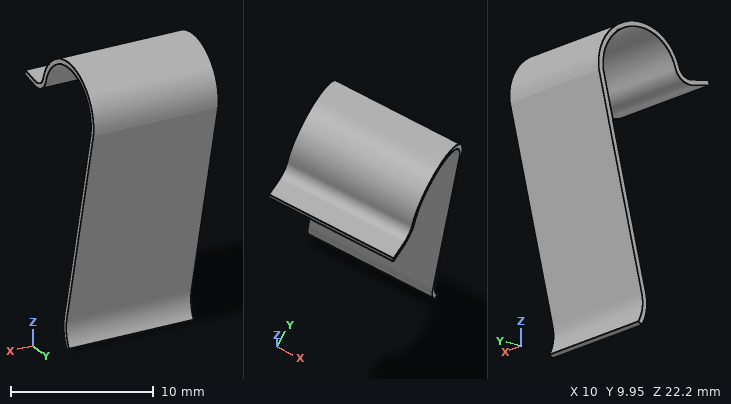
import cadquery as cq
import math

STRIP_WIDTH = 10.0
STRIP_THICKNESS = 0.4

HOOK_RADIUS = 3.7
NECK_RADIUS = 1.0
TOE_RADIUS = 2.9

HOOK_LIP_END = 16.5
HOOK_LEG_END = 8.5
LEG_TILT = 13.8
TOE_CURL = 30.0
LIP_RISE = 10.5

LEG_LENGTH = 15.74
LIP_LENGTH = 1.51


def polar(radius, angle):
    """Vector in the YZ plane, with the angle in degrees from +Y toward +Z."""
    radians = math.radians(angle)
    return cq.Vector(radius * math.cos(radians), radius * math.sin(radians))


def arc_points(center, radius, start_angle, end_angle):
    """Start, middle and end points of an arc."""
    middle_angle = (start_angle + end_angle) / 2
    return [center + polar(radius, angle) for angle in (start_angle, middle_angle, end_angle)]


HOOK_CENTER = cq.Vector(0, 0)
NECK_CENTER = polar(HOOK_RADIUS + NECK_RADIUS, 180 - HOOK_LIP_END)

TOE_CENTER = polar(HOOK_RADIUS + TOE_RADIUS, -LEG_TILT) + polar(LEG_LENGTH, -90 - LEG_TILT)


def strip_face(depth):
    """Lip end, then neck, hook and toe arcs, of the strip face at a depth below the outer face."""
    neck = arc_points(NECK_CENTER, NECK_RADIUS + depth, -90 - LIP_RISE, -HOOK_LIP_END)
    hook = arc_points(HOOK_CENTER, HOOK_RADIUS - depth, 180 - HOOK_LIP_END, -HOOK_LEG_END)
    toe = arc_points(TOE_CENTER, TOE_RADIUS + depth, 180 - LEG_TILT, 180 + TOE_CURL)
    lip_end = neck[0] + polar(LIP_LENGTH, 180 - LIP_RISE)
    return lip_end, neck, hook, toe


def point(vector):
    """Sketch coordinates of a vector."""
    return vector.x, vector.y


def add_arc(profile, arc):
    """Extend a profile along an arc that starts at the profile's current end."""
    _, middle, end = arc
    return profile.threePointArc(point(middle), point(end))


def make_clip():
    """Extrude the bent strip's profile along X, centered on the YZ plane."""
    lip_end, neck, hook, toe = strip_face(0)
    profile = cq.Workplane("YZ").moveTo(*point(lip_end)).lineTo(*point(neck[0]))
    profile = add_arc(profile, neck)
    profile = add_arc(profile, hook).lineTo(*point(toe[0]))
    profile = add_arc(profile, toe)

    lip_end, neck, hook, toe = strip_face(STRIP_THICKNESS)
    profile = add_arc(profile.lineTo(*point(toe[-1])), toe[::-1])
    profile = add_arc(profile.lineTo(*point(hook[-1])), hook[::-1])
    profile = add_arc(profile, neck[::-1])
    profile = profile.lineTo(*point(lip_end)).close()
    return profile.extrude(STRIP_WIDTH / 2, both=True)


result = make_clip()